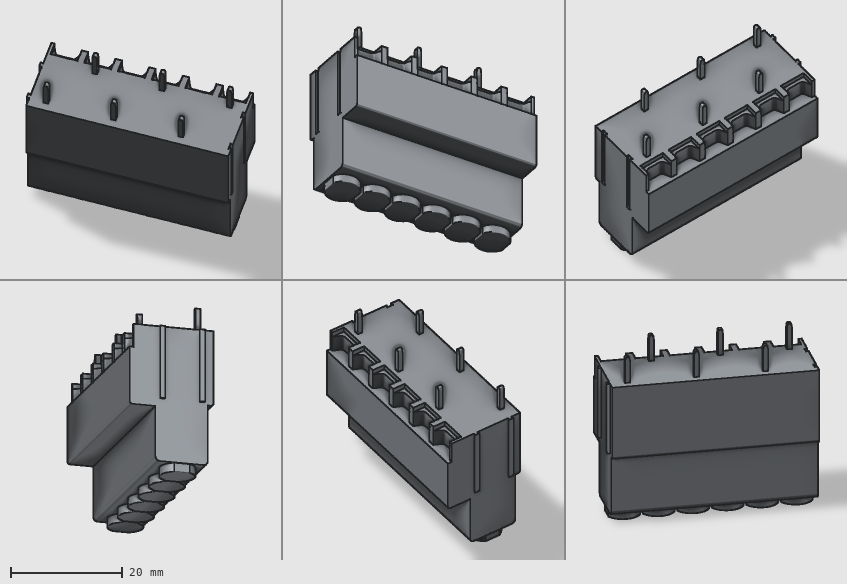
import cadquery as cq

BODY_LENGTH = 38.1
BODY_DEPTH = 15.85
BODY_HEIGHT = 25.4
POLE_COUNT = 6
PITCH = BODY_LENGTH / POLE_COUNT

LEDGE_DEPTH = 0.8
LEDGE_DROP = 4.33
STEM_FRONT = 1.1
STEM_BACK = 10.95
FRONT_OVERHANG_DROP = 14.1
REAR_OVERHANG_DROP = 15.1
OVERHANG_RADIUS = 0.55
STEM_RADIUS = 0.85

POCKET_WIDTH = 5.1
POCKET_LENGTH = 2.5
POCKET_DROP = 1.0
CHUTE_LENGTH = 1.8
CHUTE_INSET = 0.8
CHUTE_RADIUS = 1.1

DOVETAIL_CENTRES = (2.28, 9.75)
DOVETAIL_HEIGHT = 13.6
KEY_REACH = 0.5
KEY_TIP_WIDTH = 1.1
KEY_ROOT_WIDTH = 0.7
GROOVE_CLEARANCE = 0.15
KEY_EDGE_RADIUS = 0.08

SOCKET_DIAMETER = 6.55
SOCKET_WIDTH = 5.87
SOCKET_HEIGHT = 1.62
SOCKET_Y = 5.87
SOCKET_EDGE_RADIUS = 0.1

PIN_SIZE = 0.93
PIN_HEIGHT = 5.0
PIN_FRONT_Y = 2.1
PIN_REAR_Y = 11.1
PIN_TIP_HEIGHT = 0.93
PIN_TIP_WIDTH = 0.7
PIN_TIP_RADIUS = 0.3

RIGHT_END = BODY_LENGTH / 2
LEFT_END = -RIGHT_END
LEDGE_Y = BODY_DEPTH - LEDGE_DEPTH
POLE_CENTRES = [LEFT_END + PITCH * (pole + 0.5) for pole in range(POLE_COUNT)]


def make_body():
    """Extrude the stepped end profile along X and round its lower edges."""
    body = (
        cq.Workplane("YZ", origin=(LEFT_END, 0, 0))
        .polyline([
            (0, 0),
            (LEDGE_Y, 0),
            (LEDGE_Y, -LEDGE_DROP),
            (BODY_DEPTH, -LEDGE_DROP),
            (BODY_DEPTH, -REAR_OVERHANG_DROP),
            (STEM_BACK, -REAR_OVERHANG_DROP),
            (STEM_BACK, -BODY_HEIGHT),
            (STEM_FRONT, -BODY_HEIGHT),
            (STEM_FRONT, -FRONT_OVERHANG_DROP),
            (0, -FRONT_OVERHANG_DROP),
        ])
        .close()
        .extrude(BODY_LENGTH)
    )
    body = body.edges("|X and <Z").fillet(STEM_RADIUS)
    for y, drop in ((0, FRONT_OVERHANG_DROP), (BODY_DEPTH, REAR_OVERHANG_DROP)):
        body = body.edges(cq.NearestToPointSelector((0, y, -drop))).fillet(OVERHANG_RADIUS)
    return body


def make_pocket(x):
    """Shallow rectangular pocket with a tapering chute down to the ledge."""
    recess = cq.Workplane("XY").box(
        POCKET_WIDTH, POCKET_LENGTH, POCKET_DROP, centered=(True, False, False)
    ).translate((x, LEDGE_Y - POCKET_LENGTH, -POCKET_DROP))
    half_mouth = POCKET_WIDTH / 2
    half_end = half_mouth - CHUTE_INSET
    end_y = LEDGE_Y - CHUTE_LENGTH
    chute = (
        cq.Workplane("XY", origin=(x, 0, -LEDGE_DROP))
        .polyline([
            (-half_mouth, LEDGE_Y),
            (-half_end, end_y),
            (half_end, end_y),
            (half_mouth, LEDGE_Y),
        ])
        .close()
        .extrude(LEDGE_DROP)
        .edges("|Z and <Y")
        .fillet(CHUTE_RADIUS)
    )
    return recess.union(chute)


def make_dovetail(end_x, y, clearance):
    """Vertical dovetail bar rooted on the plane X = end_x and widening toward -X."""
    half_root = (KEY_ROOT_WIDTH + clearance) / 2
    half_tip = (KEY_TIP_WIDTH + clearance) / 2
    return (
        cq.Workplane("XY", origin=(end_x, y, -DOVETAIL_HEIGHT))
        .polyline([
            (0, -half_root),
            (0, half_root),
            (-KEY_REACH, half_tip),
            (-KEY_REACH, -half_tip),
        ])
        .close()
        .extrude(DOVETAIL_HEIGHT)
    )


def make_socket(x):
    """Round boss with two flats facing along X, hanging below the stem."""
    socket = cq.Workplane("XY").circle(SOCKET_DIAMETER / 2).extrude(-SOCKET_HEIGHT)
    flats = cq.Workplane("XY").box(SOCKET_WIDTH, SOCKET_DIAMETER, 2 * SOCKET_HEIGHT)
    socket = socket.intersect(flats).faces("<Z").edges().fillet(SOCKET_EDGE_RADIUS)
    return socket.translate((x, SOCKET_Y, -BODY_HEIGHT))


def make_pin(x, y):
    """Square pin whose tip narrows along X and is rounded over."""
    half_shaft = PIN_SIZE / 2
    half_tip = PIN_TIP_WIDTH / 2
    shoulder_z = PIN_HEIGHT - PIN_TIP_HEIGHT
    return (
        cq.Workplane("XZ", origin=(x, y + half_shaft, 0))
        .polyline([
            (-half_shaft, 0),
            (-half_shaft, shoulder_z),
            (-half_tip, PIN_HEIGHT),
            (half_tip, PIN_HEIGHT),
            (half_shaft, shoulder_z),
            (half_shaft, 0),
        ])
        .close()
        .extrude(PIN_SIZE)
        .edges("|Y and >Z")
        .fillet(PIN_TIP_RADIUS)
    )


result = make_body()

for centre_y in DOVETAIL_CENTRES:
    key = make_dovetail(LEFT_END, centre_y, 0).edges("|Z and <X").fillet(KEY_EDGE_RADIUS)
    result = result.union(key)
    result = result.cut(make_dovetail(RIGHT_END, centre_y, GROOVE_CLEARANCE))

for pole, centre_x in enumerate(POLE_CENTRES):
    pin_y = PIN_FRONT_Y if pole % 2 == 0 else PIN_REAR_Y
    result = result.cut(make_pocket(centre_x))
    result = result.union(make_socket(centre_x))
    result = result.union(make_pin(centre_x, pin_y))